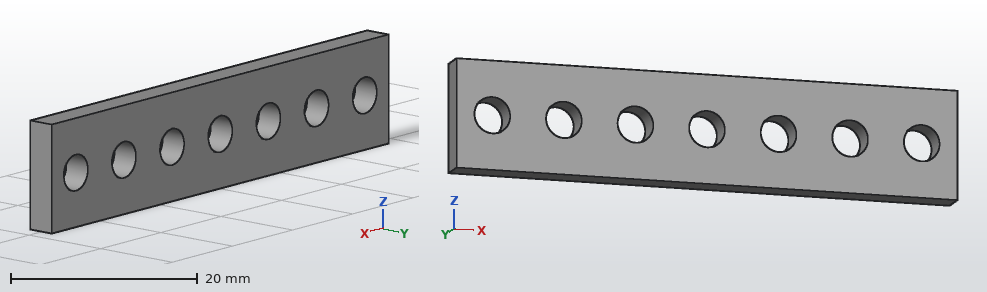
import cadquery as cq

length = 56.0
thickness = 3.0
height = 12.0

hole_diameter = 4.0
hole_count = 7
hole_pitch = length / hole_count

bar = cq.Workplane("XY").box(length, thickness, height)

result = (
    bar.faces("<Y")
    .workplane(centerOption="CenterOfBoundBox")
    .rarray(hole_pitch, 0.55, hole_count, 1)
    .hole(hole_diameter)
)